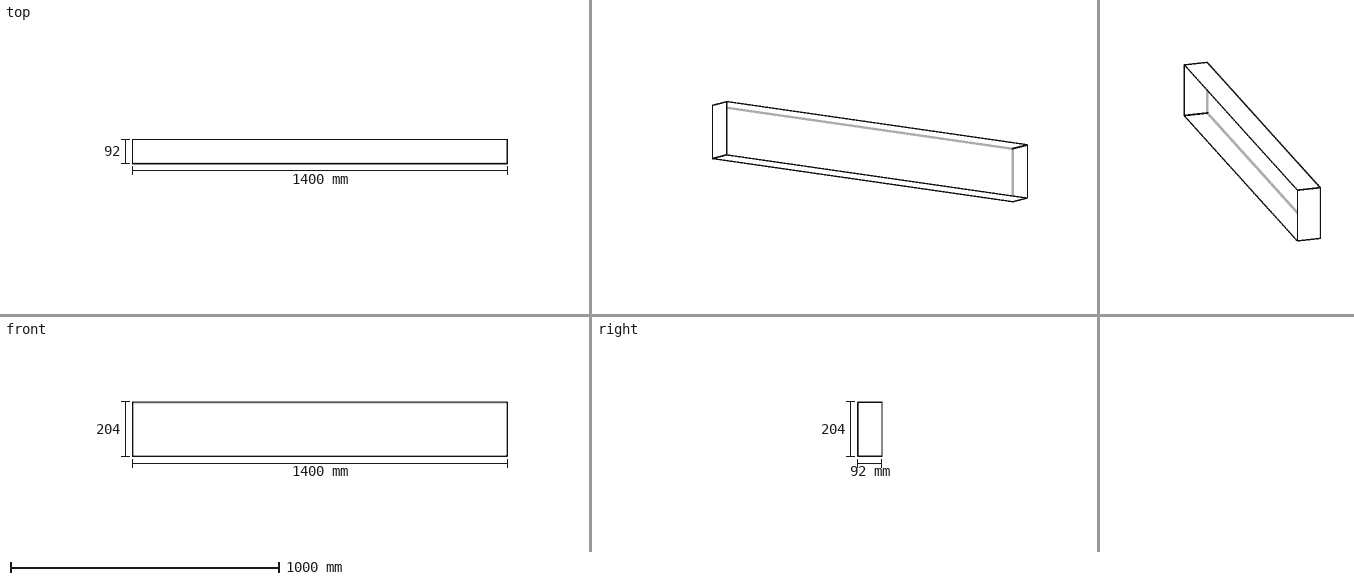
import cadquery as cq

LENGTH = 1400.0
DEPTH = 92.0
HEIGHT = 204.0

SHEET = 1.0
BEND_RADIUS = 4.0
CORNER_INSET = 1.7


def front_rounded_block(width, depth, span, radius):
    """Block along Z, centred in X and Z, front face at Y = 0, front edges rounded."""
    return (
        cq.Workplane("XY")
        .box(width, depth, span, centered=(True, False, True))
        .edges("|Z and <Y")
        .fillet(radius)
    )


def lay_along_x(body):
    """Turn a body that runs along Z so that it runs along X."""
    return body.rotate((0, 0, 0), (0, 1, 0), 90)


def folded_channel(width, span):
    """Channel along Z: a front web with two flanges folded back toward +Y."""
    outside = front_rounded_block(width, DEPTH, span, BEND_RADIUS)
    inside = front_rounded_block(width - 2 * SHEET, DEPTH, span, BEND_RADIUS - SHEET)
    return outside.cut(inside.translate((0, SHEET, 0)))


def rounded_envelope():
    """Outer shape with all four front edges rounded, meeting in mitred corners."""
    ends_rounded = front_rounded_block(LENGTH, DEPTH, HEIGHT, BEND_RADIUS)
    long_edges_rounded = lay_along_x(front_rounded_block(HEIGHT, DEPTH, LENGTH, BEND_RADIUS))
    return ends_rounded.intersect(long_edges_rounded)


end_flanges = folded_channel(LENGTH, HEIGHT - 2 * CORNER_INSET)
long_flanges = lay_along_x(folded_channel(HEIGHT, LENGTH - 2 * CORNER_INSET))

tray = end_flanges.union(long_flanges).intersect(rounded_envelope())

result = tray.translate((0, -DEPTH / 2, 0))